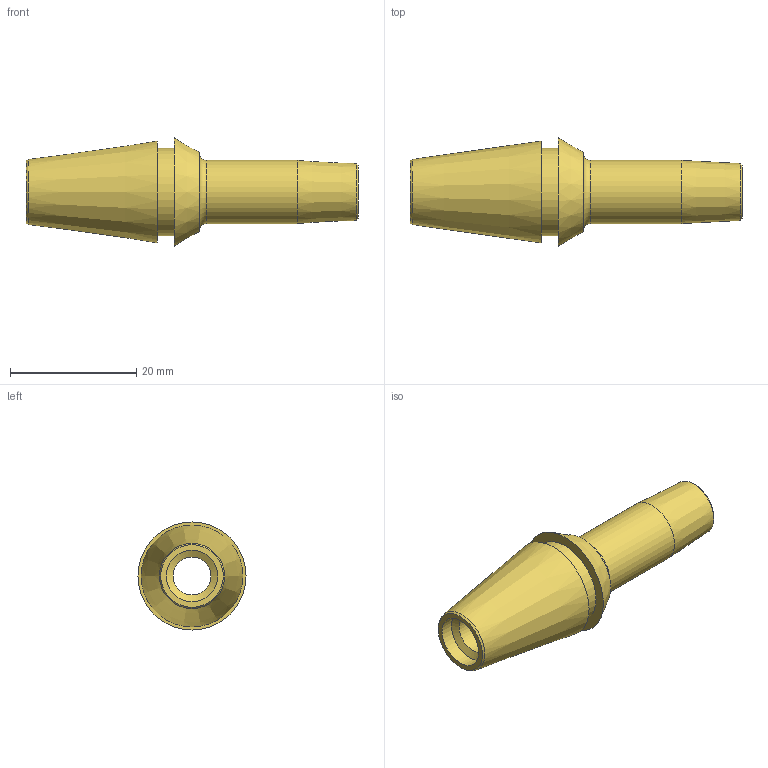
import cadquery as cq
import math

total_length = 52.5
cone_end_x = 20.75
collar_start_x = 23.45
collar_end_x = 27.4
tail_start_x = 42.9

mouth_diameter = 10.3
cone_end_diameter = 16.1
neck_diameter = 13.8
collar_diameter = 17.08
stem_diameter = 10.0
tail_end_diameter = 9.0

collar_slope_deg = 30.0
stem_fillet_radius = 1.1
mouth_chamfer_length = 0.35
mouth_chamfer_depth = 0.2
tail_chamfer = 0.3

bore_diameter = 6.0
counterbore_diameter = 8.2
counterbore_depth = 2.1
seat_angle_deg = 60.0


def make_body():
    """Turned outer shape, revolved about the X axis."""
    mouth_radius = mouth_diameter / 2
    neck_radius = neck_diameter / 2
    collar_radius = collar_diameter / 2
    stem_radius = stem_diameter / 2
    tail_end_radius = tail_end_diameter / 2
    collar_length = collar_end_x - collar_start_x
    collar_end_radius = collar_radius - collar_length * math.tan(math.radians(collar_slope_deg))
    fillet_end_x = collar_end_x + stem_fillet_radius
    fillet_top_radius = stem_radius + stem_fillet_radius
    fillet_middle_offset = stem_fillet_radius * (1 - math.sqrt(0.5))
    fillet_middle = (collar_end_x + fillet_middle_offset, stem_radius + fillet_middle_offset)

    profile = (
        cq.Workplane("XY")
        .moveTo(0, 0)
        .lineTo(0, mouth_radius - mouth_chamfer_depth)
        .lineTo(mouth_chamfer_length, mouth_radius)
        .lineTo(cone_end_x, cone_end_diameter / 2)
        .lineTo(cone_end_x, neck_radius)
        .lineTo(collar_start_x, neck_radius)
        .lineTo(collar_start_x, collar_radius)
        .lineTo(collar_end_x, collar_end_radius)
        .lineTo(collar_end_x, fillet_top_radius)
        .threePointArc(fillet_middle, (fillet_end_x, stem_radius))
        .lineTo(tail_start_x, stem_radius)
        .lineTo(total_length - tail_chamfer, tail_end_radius)
        .lineTo(total_length, tail_end_radius - tail_chamfer)
        .lineTo(total_length, 0)
        .close()
    )
    return profile.revolve(360, (0, 0, 0), (1, 0, 0))


def make_bore():
    """Through bore with a counterbore and conical seat at the mouth."""
    bore_radius = bore_diameter / 2
    counterbore_radius = counterbore_diameter / 2
    seat_length = (counterbore_radius - bore_radius) / math.tan(math.radians(seat_angle_deg))
    profile = (
        cq.Workplane("XY")
        .moveTo(0, 0)
        .lineTo(0, counterbore_radius)
        .lineTo(counterbore_depth, counterbore_radius)
        .lineTo(counterbore_depth + seat_length, bore_radius)
        .lineTo(total_length, bore_radius)
        .lineTo(total_length, 0)
        .close()
    )
    return profile.revolve(360, (0, 0, 0), (1, 0, 0))


result = make_body().cut(make_bore())